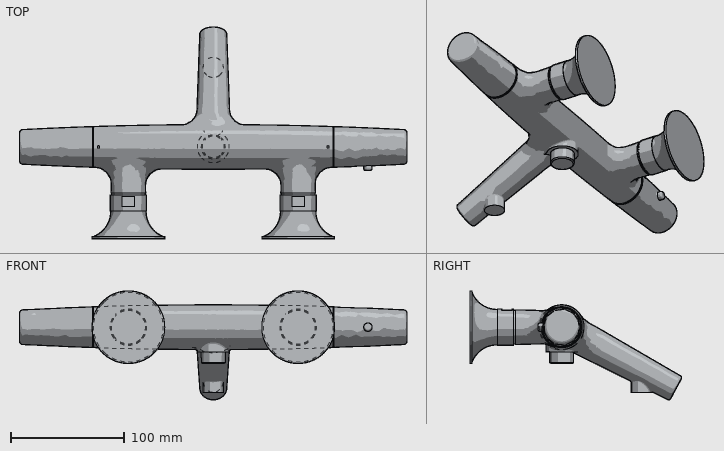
import cadquery as cq
import math


overall_length = 343.0
barrel_mid_radius = 20.0
handle_end_radius = 15.5
handle_edge_radius = 3.0
joint_x = 106.3
joint_gap = 1.0
joint_depth = 0.7
mark_x = 101.5
mark_radius = 1.0
mark_depth = 0.7

button_x = 136.8
button_radius = 3.8
button_tip_y = -21.0
button_edge = 1.7

leg_x = 75.0
leg_root_radius = 14.5
leg_end_radius = 15.5
leg_end_y = 40.8
leg_blend = 14.5
collar_radius = 16.0
collar_start_y = 42.5
collar_end_y = 56.5
neck_radius = 15.8
bell_start_y = 57.3
flat_width = 11.0
flat_start_y = 44.0
flat_end_y = 52.8
plate_radius = 32.2
plate_thickness = 2.0
bell_lip = 1.5
wall_y = 81.3

spout_angle = 28.3
spout_length = 115.0
spout_root_radius = 15.8
spout_tip_radius = 12.0
spout_tip_fillet = 2.0
spout_blend = 17.0
aerator_y = 70.3
aerator_radius = 9.0
aerator_bottom_z = -58.0
aerator_blend = 1.5

boss_radius = 14.0
boss_bottom_z = -22.0
boss_blend = 2.0
boss_rim_clearance = 1.0
outlet_radius = 10.5
outlet_bottom_z = -32.2
outlet_chamfer = 1.0

centre_band = 3.5
seam_clearance = 7.0

half_length = overall_length / 2
shoulder_x = half_length - handle_edge_radius


def barrel_radius(x):
    """Radius of the barrel, close to a parabola, at a distance x from its middle."""
    return barrel_mid_radius - (barrel_mid_radius - handle_end_radius) * (x / shoulder_x) ** 2


def make_barrel():
    face_radius = handle_end_radius - handle_edge_radius
    profile = (
        cq.Workplane("XY")
        .moveTo(-half_length, 0)
        .lineTo(-half_length, face_radius)
        .radiusArc((-shoulder_x, handle_end_radius), handle_edge_radius)
        .threePointArc((0, barrel_mid_radius), (shoulder_x, handle_end_radius))
        .radiusArc((half_length, face_radius), handle_edge_radius)
        .lineTo(half_length, 0)
        .close()
    )
    return profile.revolve(360, (0, 0, 0), (1, 0, 0))


def make_spout():
    blank = cq.Solid.makeCone(spout_root_radius, spout_tip_radius, spout_length)
    spout = cq.Workplane(blank).faces(">Z").edges().fillet(spout_tip_fillet)
    return spout.rotate((0, 0, 0), (1, 0, 0), -90 - spout_angle)


def make_leg(x):
    leg = cq.Solid.makeCone(
        leg_root_radius, leg_end_radius, leg_end_y, pnt=cq.Vector(x, 0, 0), dir=cq.Vector(0, -1, 0)
    )
    return cq.Workplane(leg)


def make_flange(x):
    """Collar and bell that continue a leg to the wall."""
    bell_end_y = wall_y - plate_thickness
    bell_end_radius = plate_radius - bell_lip
    profile = (
        cq.Workplane("XY")
        .moveTo(0, -leg_end_y)
        .lineTo(neck_radius - joint_depth, -leg_end_y)
        .lineTo(neck_radius - joint_depth, -collar_start_y)
        .lineTo(collar_radius, -collar_start_y)
        .lineTo(collar_radius, -collar_end_y)
        .lineTo(neck_radius, -collar_end_y)
        .lineTo(neck_radius, -bell_start_y)
        .tangentArcPoint((bell_end_radius, -bell_end_y), relative=False)
        .lineTo(plate_radius, -bell_end_y)
        .lineTo(plate_radius, -wall_y)
        .lineTo(0, -wall_y)
        .close()
    )
    return profile.revolve(360, (0, 0, 0), (0, 1, 0)).translate((x, 0, 0))


def make_flat_cutter(x):
    """Block whose lower face leaves a small flat on top of the collar."""
    flat_z = math.sqrt(collar_radius**2 - (flat_width / 2) ** 2)
    block = cq.Workplane("XY").box(
        flat_width, flat_end_y - flat_start_y, collar_radius, centered=(True, True, False)
    )
    return block.translate((x, -(flat_start_y + flat_end_y) / 2, flat_z))


def make_aerator():
    """Vertical stub under the spout, reaching up to the spout axis."""
    spout_axis_z = -aerator_y * math.tan(math.radians(spout_angle))
    return (
        cq.Workplane("XY", origin=(0, aerator_y, aerator_bottom_z))
        .circle(aerator_radius)
        .extrude(spout_axis_z - aerator_bottom_z)
    )


def make_outlet():
    return (
        cq.Workplane("XY", origin=(0, 0, outlet_bottom_z))
        .circle(outlet_radius)
        .extrude(-outlet_bottom_z)
        .faces("<Z")
        .chamfer(outlet_chamfer)
    )


def make_button():
    return (
        cq.Workplane("XZ", origin=(button_x, 0, 0))
        .circle(button_radius)
        .extrude(-button_tip_y)
        .faces("<Y")
        .fillet(button_edge)
    )


def make_joint_ring(x):
    """Ring that cuts the thin gap between the barrel and a handle."""
    return (
        cq.Workplane("YZ", origin=(x - joint_gap / 2, 0, 0))
        .circle(barrel_mid_radius)
        .circle(barrel_radius(x) - joint_depth)
        .extrude(joint_gap)
    )


def make_mark(x):
    """Cutter for a small round dimple on top of the barrel."""
    floor_z = barrel_radius(x) - mark_depth
    return cq.Workplane("XY", origin=(x, 0, floor_z)).circle(mark_radius).extrude(barrel_mid_radius)


def blend_edges(body, near, far, radius):
    """Fillet the edges whose centre lies in the box between two corners."""
    return body.edges(cq.selectors.BoxSelector(near, far)).fillet(radius)


body = make_barrel().union(make_spout())
body = blend_edges(
    body,
    (-centre_band, seam_clearance, -barrel_mid_radius),
    (centre_band, 2 * barrel_mid_radius, 0),
    spout_blend,
)

for x in (-leg_x, leg_x):
    body = body.union(make_leg(x))
    body = blend_edges(
        body,
        (x - centre_band, -barrel_mid_radius, -centre_band),
        (x + centre_band, -seam_clearance, centre_band),
        leg_blend,
    )

boss = cq.Workplane("XY").circle(boss_radius).extrude(boss_bottom_z)
body = body.union(boss)
body = blend_edges(
    body,
    (-boss_radius, -boss_radius, boss_bottom_z + boss_rim_clearance),
    (boss_radius, boss_radius, -boss_radius),
    boss_blend,
)

body = body.union(make_aerator())
body = blend_edges(
    body,
    (-centre_band, aerator_y - centre_band, aerator_bottom_z + centre_band),
    (centre_band, aerator_y + centre_band, aerator_bottom_z + aerator_radius),
    aerator_blend,
)

for x in (-leg_x, leg_x):
    body = body.union(make_flange(x)).cut(make_flat_cutter(x))

for x in (-joint_x, joint_x):
    body = body.cut(make_joint_ring(x))

for x in (-mark_x, mark_x):
    body = body.cut(make_mark(x))

result = body.union(make_outlet()).union(make_button())